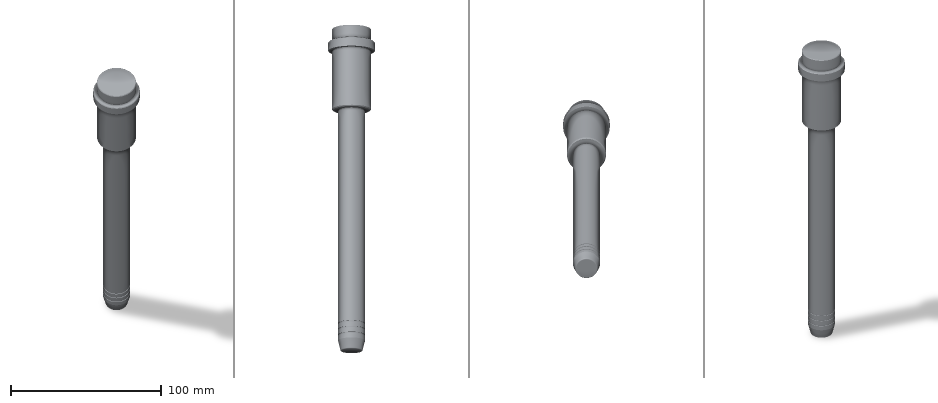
import cadquery as cq

length = 220.0
shaft_radius = 9.0
body_radius = 13.0
flange_radius = 15.5

body_bottom = 164.5
flange_bottom = 205.0
flange_top = 211.0

head_chamfer = 0.5
body_chamfer = 0.7
flange_chamfer = 0.5

taper_height = 7.0
tip_radius = 7.3
tip_round = 0.7

groove_width = 0.9
groove_depth = 0.5
lubrication_groove_count = 3
lubrication_groove_start = 10.1
lubrication_groove_pitch = 4.0


def ring_groove(radius, bottom):
    """Ring to cut into a cylinder of the given radius, starting at the given height."""
    start = cq.Workplane("XY").workplane(offset=bottom)
    return start.circle(radius).circle(radius - groove_depth).extrude(groove_width)


def turned_blank():
    """Solid of revolution with the tip, shoulders and chamfers, before grooving."""
    outline = [
        (0, 0),
        (tip_radius, 0),
        (shaft_radius, taper_height),
        (shaft_radius, body_bottom),
        (body_radius - body_chamfer, body_bottom),
        (body_radius, body_bottom + body_chamfer),
        (body_radius, flange_bottom),
        (flange_radius, flange_bottom),
        (flange_radius, flange_top - flange_chamfer),
        (flange_radius - flange_chamfer, flange_top),
        (body_radius, flange_top),
        (body_radius, length - head_chamfer),
        (body_radius - head_chamfer, length),
        (0, length),
    ]
    return cq.Workplane("XZ").polyline(outline).close().revolve(360, (0, 0), (0, 1))


result = turned_blank().faces("<Z").edges().fillet(tip_round)

result = result.cut(ring_groove(shaft_radius, body_bottom - groove_width))
result = result.cut(ring_groove(body_radius, flange_bottom - groove_width))
result = result.cut(ring_groove(body_radius, flange_top))

for index in range(lubrication_groove_count):
    height = lubrication_groove_start + index * lubrication_groove_pitch
    result = result.cut(ring_groove(shaft_radius, height))